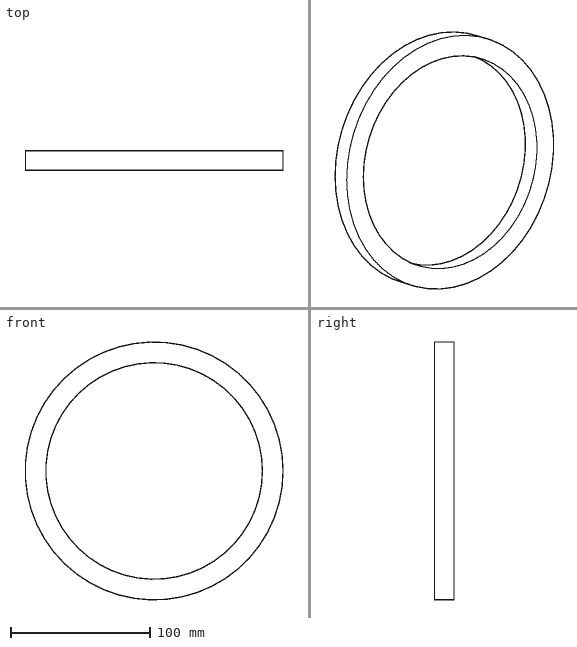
import cadquery as cq

outer_diameter = 185.0
bore_diameter = 155.0
width = 14.0

result = (
    cq.Workplane("XZ")
    .circle(outer_diameter / 2)
    .circle(bore_diameter / 2)
    .extrude(width)
)